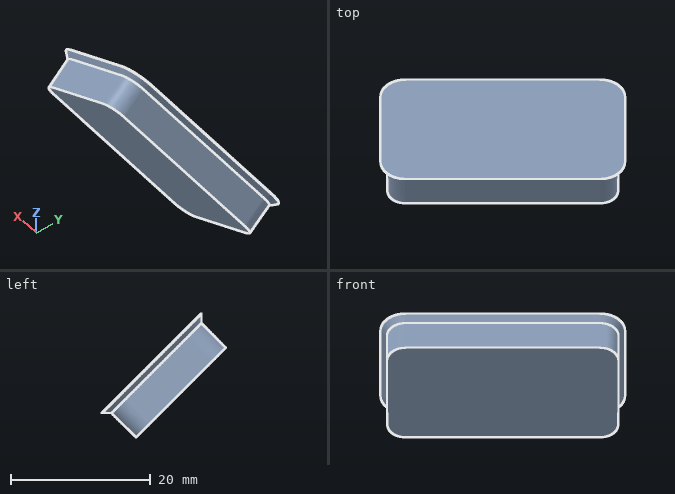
import cadquery as cq

flange_length = 35.07
flange_width = 20.13
flange_corner_radius = 3.6
rim_thickness = 0.07
flare = 0.95
flare_angle = 45.0
draft_angle = 0.5
total_depth = 5.95
tilt = -45.0

body_length = flange_length - 2 * flare
body_width = flange_width - 2 * flare
body_corner_radius = flange_corner_radius - flare

skirt_bottom = rim_thickness + flare
body_height = total_depth - skirt_bottom


def rounded_block(length, width, corner_radius, top_depth, height, taper=0.0):
    """Rounded rectangle extruded down from top_depth, narrowing by the taper angle."""
    return (
        cq.Workplane("XY", origin=(0, 0, -top_depth))
        .sketch()
        .rect(length, width)
        .vertices()
        .fillet(corner_radius)
        .finalize()
        .extrude(-height, taper=taper)
    )


rim = rounded_block(flange_length, flange_width, flange_corner_radius, 0.0, rim_thickness)

skirt = rounded_block(
    flange_length, flange_width, flange_corner_radius, rim_thickness, flare, flare_angle
)

body = rounded_block(
    body_length, body_width, body_corner_radius, skirt_bottom, body_height, draft_angle
)

result = rim.union(skirt).union(body).rotate((0, 0, 0), (1, 0, 0), tilt)